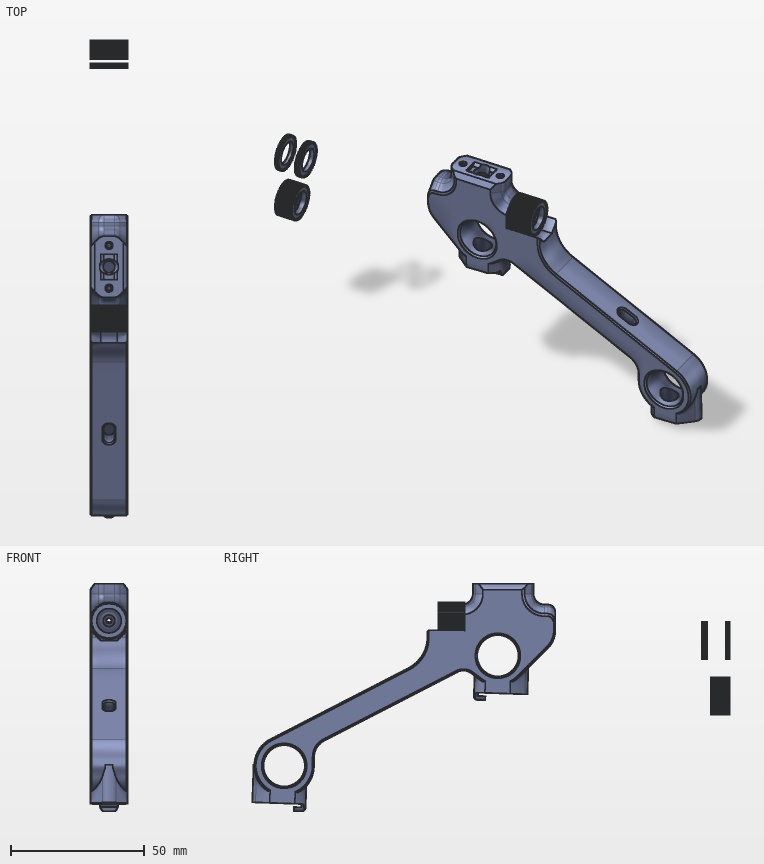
import cadquery as cq
import math

WIDTH = 14.0
HALF_WIDTH = WIDTH / 2

TOUCHING = 1e-4

BORE_DIAMETER = 15.46
BORE_CHAMFER = 0.7
HUB_RADIUS = 11.2
HUB_EXIT_ANGLE = math.radians(-127)
LOWER_BORE = (-80.0, -41.2)
ARM_ANGLE = math.atan2(-LOWER_BORE[1], -LOWER_BORE[0])
ARM_UNDERSIDE_OFFSET = 1.5
ARM_NECK_RADIUS = 13.0
ARM_ELBOW_RADIUS = 7.0
ARM_ARMPIT_RADIUS = 5.0
EDGE_CHAMFER = 0.6

PAD_TOP = 27.0
PAD_CENTER = 2.0
PAD_LENGTH = 22.8
PAD_FILLET = 4.0
SHELF_HEIGHT = 19.2
HEAD_END = 21.5
HEAD_END_ROUND = 2.8
HEAD_HEEL_RADIUS = 9.0
HEEL_ANGLE = math.radians(45)
CORNER_CHAMFER = 3.8
CORNER_BLEND = 3.0
PAD_BEVEL_WIDTH = 1.6
PAD_BEVEL_HEIGHT = 2.2

PAD_HOLE_SPACING = 16.0
PAD_HOLE_DIAMETER = 1.86
PAD_HOLE_MOUTH = 2.88
PAD_HOLE_DEPTH = 5.0
SOCKET_MOUTH = 7.0
SOCKET_CONE_DEPTH = 3.0
NOTCH_LENGTH = 9.6
NOTCH_MOUTH = 6.3
NOTCH_FLOOR = 3.8
NOTCH_DEPTH = (NOTCH_MOUTH - NOTCH_FLOOR) / 2
SOCKET_BORE = 4.4

WHEEL_DIAMETER = 14.0
WHEEL_BORE = 9.18
SEAT_WALL = -12.35
SEAT_END = -26.4
SEAT_AXIS_HEIGHT = 13.1
SEAT_APOTHEM = 7.4
AXLE_HOLE = 1.86
AXLE_COUNTERBORE = 4.4
AXLE_COUNTERBORE_DEPTH = 3.0

SLOT_Y = -60.6
SLOT_LENGTH = 8.0
SLOT_WIDTH = 4.0
SLOT_CHAMFER = 0.6
SLOT_DEPTH = 7.0

FOOT_DEPTH = 14.1
FOOT_NOSE = 10.1
FOOT_NOSE_RADIUS = 3.2
FOOT_FLANK_ANGLE = math.radians(50)
FOOT_HEEL_RADIUS = 8.0
FOOT_HEEL = 10.0
FOOT_HOLE = 7.0
FOOT_HOLE_SHIFT = 1.5
FOOT_HOLE_DEPTH = 13.0
UPPER_FOOT_SHIFT = 1.5
LOWER_FOOT_SHIFT = -1.4
FOOT_TILT = 2.0

HOOK_WIDTH = 7.0
HOOK_DROP = 2.75
HOOK_THICKNESS = 1.6
HOOK_REACH = 4.4

KNURL_COUNT = 60
KNURL_DEPTH = 0.6
BORE_GROOVE_INSET = 2.5
BORE_GROOVE_WIDTH = 1.0
BORE_GROOVE_DEPTH = 0.4
WHEEL_LENGTH = 10.0
FAR_END = 86.84
SPACER_HEIGHT = 5.7
LOW_SPACER_HEIGHT = -15.1
SECOND_SPACER_END = 78.3
SPACER_LENGTHS = (1.5, 1.9, 3.2, 4.0)


def tangent_line(center, radius, normal_angle):
    """Line touching a circle where its outward normal has the given angle: (point, direction)."""
    normal = (math.cos(normal_angle), math.sin(normal_angle))
    point = (center[0] + radius * normal[0], center[1] + radius * normal[1])
    return point, (-normal[1], normal[0])


def meet(first, second):
    """Point where two lines cross."""
    (p, d), (q, e) = first, second
    along = ((q[0] - p[0]) * e[1] - (q[1] - p[1]) * e[0]) / (d[0] * e[1] - d[1] * e[0])
    return p[0] + along * d[0], p[1] + along * d[1]


def rounded_outline(corners):
    """Closed YZ outline through (point, radius) corners, each rounded by a tangent arc."""
    path = None
    last = None
    count = len(corners)
    for i, (corner, radius) in enumerate(corners):
        vertex = cq.Vector(*corner)
        back = (cq.Vector(*corners[i - 1][0]) - vertex).normalized()
        ahead = (cq.Vector(*corners[(i + 1) % count][0]) - vertex).normalized()
        half = back.getAngle(ahead) / 2
        setback = radius / math.tan(half)
        bisector = (back + ahead).normalized()
        start = vertex + back * setback
        middle = vertex + bisector * (radius / math.sin(half) - radius)
        end = vertex + ahead * setback
        if path is None:
            path = cq.Workplane("YZ").moveTo(start.x, start.y)
        elif (start - last).Length > TOUCHING:
            path = path.lineTo(start.x, start.y)
        if radius:
            path = path.threePointArc((middle.x, middle.y), (end.x, end.y))
        last = end
    return path.close()


def plate():
    center = (0, 0)
    up = math.pi / 2
    arm_up = up + ARM_ANGLE
    pad_plus = PAD_CENTER + PAD_LENGTH / 2
    pad_minus = PAD_CENTER - PAD_LENGTH / 2
    heel = tangent_line(center, HUB_RADIUS, -HEEL_ANGLE)
    hub_exit = tangent_line(center, HUB_RADIUS, HUB_EXIT_ANGLE)
    underside = tangent_line(LOWER_BORE, ARM_UNDERSIDE_OFFSET, arm_up)
    top_face = tangent_line(LOWER_BORE, HUB_RADIUS, arm_up)
    hub_inner = tangent_line(LOWER_BORE, HUB_RADIUS, 0)
    hub_bottom = tangent_line(LOWER_BORE, HUB_RADIUS, -up)
    hub_outer = tangent_line(LOWER_BORE, HUB_RADIUS, math.pi)
    head_end = ((HEAD_END, 0), (0, 1))
    seat_end = ((SEAT_END, 0), (0, 1))
    corners = [
        ((pad_plus, PAD_TOP), 0),
        ((pad_plus, SHELF_HEIGHT), PAD_FILLET),
        ((HEAD_END, SHELF_HEIGHT), 0),
        (meet(head_end, heel), HEAD_HEEL_RADIUS),
        (meet(heel, hub_exit), HUB_RADIUS),
        (meet(hub_exit, underside), ARM_ARMPIT_RADIUS),
        (meet(underside, hub_inner), ARM_ELBOW_RADIUS),
        (meet(hub_inner, hub_bottom), HUB_RADIUS),
        (meet(hub_bottom, hub_outer), HUB_RADIUS),
        (meet(hub_outer, top_face), HUB_RADIUS),
        (meet(top_face, seat_end), ARM_NECK_RADIUS),
        ((SEAT_END, SHELF_HEIGHT), 0),
        ((pad_minus, SHELF_HEIGHT), PAD_FILLET),
        ((pad_minus, PAD_TOP), 0),
    ]
    return rounded_outline(corners).extrude(HALF_WIDTH, both=True)


def bearing_bore(center):
    """Full-width bore along X about a (y, z) centre, chamfered at both mouths."""
    radius = BORE_DIAMETER / 2
    half_profile = (
        cq.Workplane("XY")
        .polyline([
            (-HALF_WIDTH, 0),
            (-HALF_WIDTH, radius + BORE_CHAMFER),
            (-HALF_WIDTH + BORE_CHAMFER, radius),
            (HALF_WIDTH - BORE_CHAMFER, radius),
            (HALF_WIDTH, radius + BORE_CHAMFER),
            (HALF_WIDTH, 0),
        ])
        .close()
    )
    return half_profile.revolve(360, (0, 0, 0), (1, 0, 0)).translate((0, *center))


def head_edges(body, half_spacing):
    """Edges of the pad ends and shelf that run at a given distance from the mid-plane."""
    return body.newObject([
        e for e in body.edges().vals()
        if abs(abs(e.Center().x) - half_spacing) < TOUCHING
        and SHELF_HEIGHT - TOUCHING < e.Center().z < PAD_TOP - TOUCHING
        and SEAT_END + TOUCHING < e.Center().y < HEAD_END - TOUCHING
    ])


def head_with_chamfered_corners(body):
    """Wide corner chamfers that follow the pad ends and the shelf, blended into the end faces."""
    body = head_edges(body, HALF_WIDTH).chamfer(CORNER_CHAMFER)
    bevel = (
        cq.Workplane("XZ")
        .moveTo(HALF_WIDTH, PAD_TOP)
        .lineTo(HALF_WIDTH - PAD_BEVEL_WIDTH, PAD_TOP)
        .lineTo(HALF_WIDTH, PAD_TOP - PAD_BEVEL_HEIGHT)
        .close()
        .extrude(PAD_LENGTH, both=True)
    )
    body = body.cut(bevel).cut(bevel.mirror("YZ"))
    body = head_edges(body, HALF_WIDTH - CORNER_CHAMFER).fillet(CORNER_BLEND)
    end_edges = [
        e for e in body.edges().vals()
        if abs(e.Center().y - HEAD_END) < TOUCHING
        and e.Center().z > SHELF_HEIGHT - CORNER_CHAMFER
    ]
    return body.newObject(end_edges).fillet(HEAD_END_ROUND)


def chamfered_sides(body):
    """Light chamfer along both long side outlines, below the head's wide corner chamfers."""
    side_edges = [
        e for e in body.edges().vals()
        if abs(abs(e.Center().x) - HALF_WIDTH) < TOUCHING
        and abs(e.startPoint().x - e.endPoint().x) < TOUCHING
        and e.Center().z < SHELF_HEIGHT - CORNER_CHAMFER - TOUCHING
    ]
    return body.newObject(side_edges).chamfer(EDGE_CHAMFER)


def wheel_seat():
    """Half-octagon trough that the wheel lies in, open toward the arm."""
    half_floor = SEAT_APOTHEM * math.tan(math.pi / 8)
    rise = SEAT_APOTHEM - half_floor
    section = (
        cq.Workplane("XZ", origin=(0, SEAT_WALL, SEAT_AXIS_HEIGHT))
        .polyline([
            (-half_floor, -SEAT_APOTHEM),
            (half_floor, -SEAT_APOTHEM),
            (half_floor + rise, -half_floor),
            (half_floor + rise, PAD_TOP),
            (-half_floor - rise, PAD_TOP),
            (-half_floor - rise, -half_floor),
        ])
        .close()
    )
    return section.extrude(2 * (SEAT_WALL - SEAT_END))


def y_cylinder(diameter, start, length, height):
    """Cylinder along Y from `start` toward -Y."""
    return cq.Workplane("XZ", origin=(0, start, height)).circle(diameter / 2).extrude(length)


def z_cylinder(diameter, y, bottom, top):
    """Cylinder along Z between two heights."""
    return cq.Workplane("XY", origin=(0, y, bottom)).circle(diameter / 2).extrude(top - bottom)


def pad_hole(y):
    """Small blind hole with a countersunk mouth."""
    hole = z_cylinder(PAD_HOLE_DIAMETER, y, PAD_TOP - PAD_HOLE_DEPTH, PAD_TOP)
    sink = (PAD_HOLE_MOUTH - PAD_HOLE_DIAMETER) / 2
    mouth = (
        cq.Workplane("XY", origin=(0, y, PAD_TOP))
        .circle(PAD_HOLE_MOUTH / 2)
        .extrude(-sink, taper=45)
    )
    return hole.union(mouth)


def pad_socket():
    """Conical socket crossed by a V-sided notch, with a bore down to the upper bearing bore."""
    cone = cq.Workplane("XY").add(
        cq.Solid.makeCone(
            SOCKET_MOUTH / 2, SOCKET_BORE / 2, SOCKET_CONE_DEPTH,
            cq.Vector(0, PAD_CENTER, PAD_TOP), cq.Vector(0, 0, -1),
        )
    )
    notch = (
        cq.Workplane("XZ", origin=(0, PAD_CENTER, PAD_TOP))
        .polyline([
            (-NOTCH_MOUTH / 2, 0),
            (-NOTCH_FLOOR / 2, -NOTCH_DEPTH),
            (NOTCH_FLOOR / 2, -NOTCH_DEPTH),
            (NOTCH_MOUTH / 2, 0),
        ])
        .close()
        .extrude(NOTCH_LENGTH / 2, both=True)
    )
    return cone.union(notch).union(z_cylinder(SOCKET_BORE, PAD_CENTER, 0, PAD_TOP))


def arm_slot():
    """Chamfered slot square to the arm's top face, long side along the arm."""
    along = cq.Vector(0, math.cos(ARM_ANGLE), math.sin(ARM_ANGLE))
    outward = cq.Vector(0, -math.sin(ARM_ANGLE), math.cos(ARM_ANGLE))
    reach = (SLOT_Y - LOWER_BORE[0]) / math.cos(ARM_ANGLE) + HUB_RADIUS * math.tan(ARM_ANGLE)
    center = cq.Vector(0, *LOWER_BORE) + along * reach + outward * HUB_RADIUS
    face = cq.Plane(origin=center, xDir=along, normal=outward)
    slot = cq.Workplane(face).slot2D(SLOT_LENGTH, SLOT_WIDTH).extrude(-SLOT_DEPTH)
    mouth = (
        cq.Workplane(face)
        .slot2D(SLOT_LENGTH + 2 * SLOT_CHAMFER, SLOT_WIDTH + 2 * SLOT_CHAMFER)
        .extrude(-SLOT_CHAMFER, taper=45)
    )
    return slot.union(mouth)


def foot_outline(depth):
    """Foot plan: a V-shaped nose toward +Y and a broad round heel toward -Y."""
    nose_center = FOOT_NOSE - FOOT_NOSE_RADIUS
    touch_x = FOOT_NOSE_RADIUS * math.sin(FOOT_FLANK_ANGLE)
    touch_y = nose_center + FOOT_NOSE_RADIUS * math.cos(FOOT_FLANK_ANGLE)
    flank_end = touch_y - (HALF_WIDTH - touch_x) * math.tan(FOOT_FLANK_ANGLE)
    heel_center = FOOT_HEEL_RADIUS - FOOT_HEEL
    heel_side = heel_center - math.sqrt(FOOT_HEEL_RADIUS**2 - HALF_WIDTH**2)
    return (
        cq.Workplane("XY")
        .moveTo(HALF_WIDTH, heel_side)
        .lineTo(HALF_WIDTH, flank_end)
        .lineTo(touch_x, touch_y)
        .threePointArc((0, FOOT_NOSE), (-touch_x, touch_y))
        .lineTo(-HALF_WIDTH, flank_end)
        .lineTo(-HALF_WIDTH, heel_side)
        .threePointArc((0, -FOOT_HEEL), (HALF_WIDTH, heel_side))
        .close()
        .extrude(-depth)
    )


def hook():
    """J-shaped lip that hangs below the foot's heel and curls under it, rounded to a tongue."""
    section = (
        cq.Workplane("YZ", origin=(-HOOK_WIDTH / 2, -FOOT_HEEL, -FOOT_DEPTH))
        .lineTo(HOOK_THICKNESS, 0)
        .lineTo(HOOK_THICKNESS, HOOK_THICKNESS - HOOK_DROP)
        .lineTo(HOOK_REACH, HOOK_THICKNESS - HOOK_DROP)
        .lineTo(HOOK_REACH, -HOOK_DROP)
        .lineTo(HOOK_THICKNESS, -HOOK_DROP)
        .radiusArc((0, HOOK_THICKNESS - HOOK_DROP), HOOK_THICKNESS)
        .close()
        .extrude(HOOK_WIDTH)
    )
    tongue = y_cylinder(HOOK_WIDTH, HOOK_REACH, 4 * HOOK_REACH, -FOOT_DEPTH)
    return section.intersect(foot_outline(2 * FOOT_DEPTH)).intersect(tongue)


def foot():
    return foot_outline(FOOT_DEPTH).union(hook())


def placed(feature, center, shift, turned):
    """Foot-related feature moved under a bore, optionally turned half round."""
    if turned:
        feature = feature.rotate((0, 0, 0), (0, 0, 1), 180)
    feature = feature.translate((0, shift, 0)).rotate((0, 0, 0), (1, 0, 0), -FOOT_TILT)
    return feature.translate((0, *center))


def arm():
    """Arm with its head, two bores, two hooked feet and all its holes."""
    body = chamfered_sides(head_with_chamfered_corners(plate()))
    body = body.cut(wheel_seat())
    sites = [((0, 0), UPPER_FOOT_SHIFT, False), (LOWER_BORE, LOWER_FOOT_SHIFT, True)]
    for center, shift, turned in sites:
        body = body.union(placed(foot(), center, shift, turned))
    for center, shift, turned in sites:
        body = body.cut(bearing_bore(center))
        foot_hole = z_cylinder(FOOT_HOLE, FOOT_HOLE_SHIFT, -FOOT_HOLE_DEPTH, 0)
        body = body.cut(foot_hole.translate((0, *center)))
    for side in (-1, 1):
        body = body.cut(pad_hole(PAD_CENTER + side * PAD_HOLE_SPACING / 2))
    body = body.cut(pad_socket()).cut(arm_slot())
    body = body.cut(y_cylinder(AXLE_HOLE, HEAD_END, HEAD_END - SEAT_END, SEAT_AXIS_HEIGHT))
    counterbore_start = SEAT_WALL + AXLE_COUNTERBORE_DEPTH
    counterbore = y_cylinder(
        AXLE_COUNTERBORE, counterbore_start, AXLE_COUNTERBORE_DEPTH, SEAT_AXIS_HEIGHT
    )
    return body.cut(counterbore)


def knurled_ring(end, length, height):
    """Tube along Y with V grooves around its rim, from `end` toward -Y."""
    radius = WHEEL_DIAMETER / 2
    root = radius - KNURL_DEPTH
    step = 2 * math.pi / KNURL_COUNT
    points = []
    for i in range(KNURL_COUNT):
        for turn, reach in ((0, radius), (0.5, root)):
            angle = (i + turn) * step
            points.append((reach * math.cos(angle), reach * math.sin(angle)))
    rim = cq.Workplane("XZ", origin=(0, end, height)).polyline(points).close().extrude(length)
    return rim.cut(y_cylinder(WHEEL_BORE, end, length, height))


def bore_groove(end, length, height):
    """Ring groove inside a wheel's bore, close to its -Y face."""
    groove_end = end - length + BORE_GROOVE_INSET + BORE_GROOVE_WIDTH
    return y_cylinder(WHEEL_BORE + 2 * BORE_GROOVE_DEPTH, groove_end, BORE_GROOVE_WIDTH, height)


def grooved_ring(end, length, height):
    return knurled_ring(end, length, height).cut(bore_groove(end, length, height))


first, second, third, fourth = SPACER_LENGTHS

arm_body = arm()
thumb_wheel = grooved_ring(SEAT_WALL, WHEEL_LENGTH, SEAT_AXIS_HEIGHT)

plain_spacer_places = [
    (FAR_END, first, SPACER_HEIGHT),
    (SECOND_SPACER_END, second, SPACER_HEIGHT),
    (FAR_END, third, LOW_SPACER_HEIGHT),
]
plain_spacers = [knurled_ring(*place) for place in plain_spacer_places]
grooved_spacer = grooved_ring(FAR_END - third, fourth, LOW_SPACER_HEIGHT)

result = cq.Compound.makeCompound([
    arm_body.val(),
    thumb_wheel.val(),
    *[spacer.val() for spacer in plain_spacers],
    grooved_spacer.val(),
])